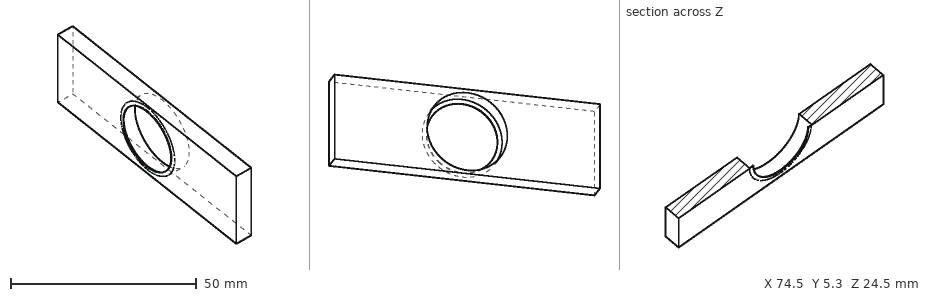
import cadquery as cq

length = 74.5
thickness = 5.3
height = 24.5

hole_diameter = 20.0
bore_diameter = 22.5
lip_thickness = 0.3


def cylinder_from_back(diameter, depth):
    """Cylinder on the plate's central Y axis, reaching inward from the +Y face."""
    return cq.Workplane("XZ", origin=(0, thickness / 2, 0)).circle(diameter / 2).extrude(depth)


plate = cq.Workplane("XY").box(length, thickness, height)
through_hole = cylinder_from_back(hole_diameter, thickness)
bore = cylinder_from_back(bore_diameter, thickness - lip_thickness)

result = plate.cut(through_hole).cut(bore)